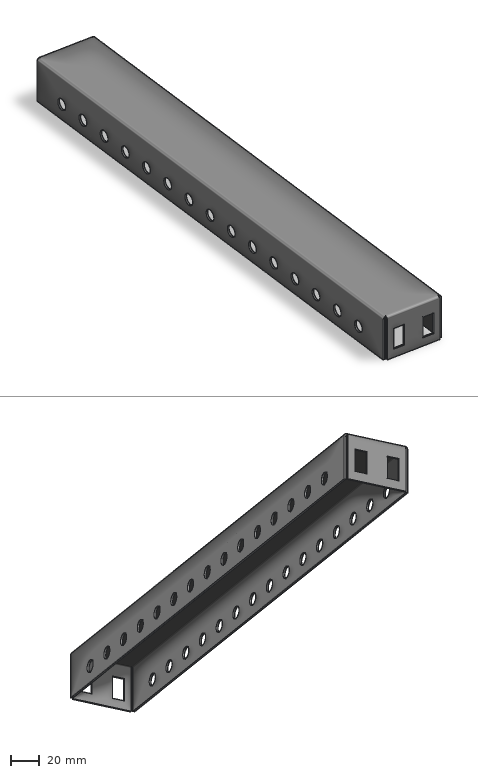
import cadquery as cq

length = 412.0
width = 50.0
height = 35.0

sheet = 1.5
bend_radius = 2.5
side_setback = 1.75

hole_count = 15
hole_row_length = 350.0
hole_pitch = hole_row_length / (hole_count - 1)
hole_diameter = 9.0
hole_height = 12.5

slot_count = 2
slot_width = 9.0
slot_length = 17.0
slot_height = 15.2

flat_width = width - 2 * bend_radius


def arch(plane, span, rise, radius, depth):
    """Solid block with two rounded top edges, standing on Z = 0 and centred in X and Y."""
    return (
        cq.Workplane(plane)
        .moveTo(-span / 2, 0)
        .lineTo(-span / 2, rise - radius)
        .radiusArc((-span / 2 + radius, rise), radius)
        .lineTo(span / 2 - radius, rise)
        .radiusArc((span / 2, rise - radius), radius)
        .lineTo(span / 2, 0)
        .close()
        .extrude(depth / 2, both=True)
    )


def folded_channel(plane, span, depth):
    """Sheet folded down along two parallel edges, open underneath."""
    outside = arch(plane, span, height, bend_radius, depth)
    inside = arch(plane, span - 2 * sheet, height - sheet, bend_radius - sheet, depth)
    return outside.cut(inside)


top_and_ends = folded_channel("XZ", length, flat_width)

between_folds = cq.Workplane("XY").box(length, flat_width, 2 * height)
sides = folded_channel("YZ", width, length - 2 * side_setback).cut(between_folds)

side_holes = (
    cq.Workplane("XZ", origin=(0, 0, hole_height))
    .rarray(hole_pitch, 4, hole_count, 1)
    .circle(hole_diameter / 2)
    .extrude(width, both=True)
)

end_slots = (
    cq.Workplane("YZ", origin=(0, 0, slot_height))
    .rarray(hole_pitch, 4, slot_count, 1)
    .rect(slot_width, slot_length)
    .extrude(length, both=True)
)

result = top_and_ends.union(sides).cut(side_holes).cut(end_slots)